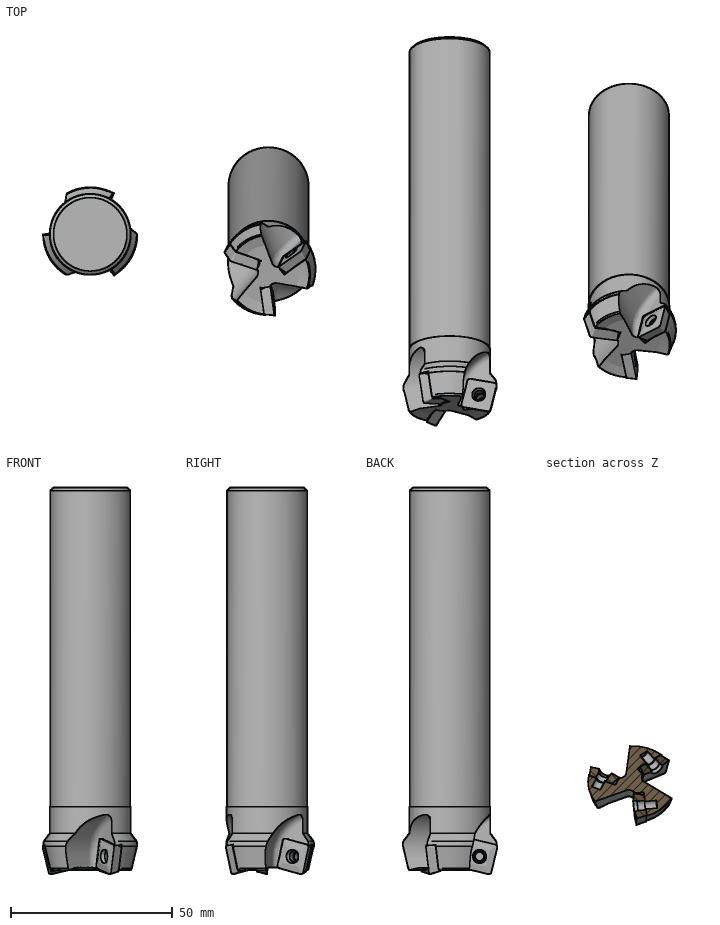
import cadquery as cq
import math

overall_length = 120
shank_radius = 25.0 / 2
neck_radius = 25.2 / 2
neck_top = 21.0
neck_bottom = 12.7
shank_chamfer_width = 1.1
shank_chamfer_height = 1.0

collar_radius = 14.6
collar_shoulder_radius = 14.4
collar_shoulder_height = 10.3
collar_bottom = 8.6
collar_band_top = 9.0
head_step = 0.1
head_tip_radius = 13.0
head_tip_height = 1.9
head_tip_chamfer_width = 0.4
head_low_point = 1.3
head_dish_radius = 9.4
head_dish_height = 2.0

tooth_count = 3
first_tooth_angle = -60

wall_setback = 0.4
flute_corner_radial = 2.3
floor_lean = 18
floor_straight_top = 5.2
floor_runout_radius = 14.4
flute_fillet = 1.9
flute_reach = 24
flute_below_head = 2.4

insert_side = 9.5
insert_corner_radius = 0.8
insert_thickness = 3.1
insert_relief = 15
insert_tilt = 13.5
insert_tip_radial = 12.1
insert_boss_height = 0.4
insert_boss_side = 5.3
insert_land = 0.2
insert_hole_diameter = 3.4
insert_countersink_diameter = 4.2
insert_countersink_depth = 1.2
screw_hole_diameter = 2.8
screw_hole_depth = 3.6

tooth_angles = [first_tooth_angle + i * 360 / tooth_count for i in range(tooth_count)]


def insert_plane():
    """Rake plane of the tooth at angle 0: X runs outward along the lower edge, Z into the tooth."""
    tilt = math.radians(insert_tilt)
    half_span = insert_side / 2 - insert_corner_radius
    center_x = insert_tip_radial + half_span * (math.sin(tilt) - math.cos(tilt))
    center_z = insert_corner_radius + half_span * (math.sin(tilt) + math.cos(tilt))
    return cq.Plane(
        origin=(center_x, 0, center_z),
        xDir=(math.cos(tilt), 0, -math.sin(tilt)),
        normal=(0, 1, 0),
    )


def rounded_square_prism(taper):
    prism = cq.Workplane(insert_plane()).sketch().rect(insert_side, insert_side)
    prism = prism.vertices().fillet(insert_corner_radius).finalize()
    return prism.extrude(insert_thickness, taper=taper)


def make_insert():
    body = rounded_square_prism(insert_relief)
    corner_setback = insert_corner_radius * (1 - math.cos(math.radians(45)))
    boss_base_side = insert_side - 2 * (insert_land + corner_setback)
    boss = (
        cq.Workplane(insert_plane())
        .rect(boss_base_side, boss_base_side)
        .workplane(offset=-insert_boss_height)
        .rect(insert_boss_side, insert_boss_side)
        .loft(combine=True)
    )
    boss_face = cq.Workplane(insert_plane()).workplane(offset=-insert_boss_height)
    hole = boss_face.circle(insert_hole_diameter / 2).extrude(insert_thickness + insert_boss_height)
    countersink = (
        boss_face.circle(insert_countersink_diameter / 2)
        .workplane(offset=insert_countersink_depth)
        .circle(insert_hole_diameter / 2)
        .loft(combine=True)
    )
    return body.union(boss).cut(hole).cut(countersink)


def turned_blank():
    head_top_radius = collar_radius - head_step
    return (
        cq.Workplane("XZ")
        .moveTo(0, head_dish_height)
        .lineTo(head_dish_radius, head_dish_height)
        .lineTo(head_tip_radius - head_tip_chamfer_width, head_low_point)
        .lineTo(head_tip_radius, head_tip_height)
        .lineTo(head_top_radius, collar_bottom)
        .lineTo(collar_radius, collar_bottom)
        .lineTo(collar_radius, collar_band_top)
        .tangentArcPoint((collar_shoulder_radius, collar_shoulder_height), relative=False)
        .lineTo(neck_radius, neck_bottom)
        .lineTo(neck_radius, neck_top)
        .lineTo(shank_radius, neck_top)
        .lineTo(shank_radius, overall_length - shank_chamfer_height)
        .lineTo(shank_radius - shank_chamfer_width, overall_length)
        .lineTo(0, overall_length)
        .close()
        .revolve(360, (0, 0, 0), (0, 1, 0))
    )


def flute_cutter():
    """Flute of the tooth at angle 0: floor runs straight up, then out along an arc."""
    lean = math.radians(floor_lean)
    floor_plane = cq.Plane(
        origin=(flute_corner_radial, wall_setback, 0),
        xDir=(math.cos(lean), math.sin(lean), 0),
        normal=(math.sin(lean), -math.cos(lean), 0),
    )
    half_arc = math.radians(45)
    arc_middle = (
        floor_runout_radius * (1 - math.cos(half_arc)),
        floor_straight_top + floor_runout_radius * math.sin(half_arc),
    )
    arc_end = (floor_runout_radius, floor_straight_top + floor_runout_radius)
    swept = (
        cq.Workplane(floor_plane)
        .moveTo(0, -flute_below_head)
        .lineTo(0, floor_straight_top)
        .threePointArc(arc_middle, arc_end)
        .lineTo(flute_reach, arc_end[1])
        .lineTo(flute_reach, -flute_below_head)
        .close()
        .extrude(flute_reach, both=True)
    )
    block_side = 4 * flute_reach
    open_side = cq.Workplane("XY").box(block_side, block_side, block_side)
    open_side = open_side.translate((0, wall_setback - block_side / 2, 0))
    cutter = swept.intersect(open_side)
    corner = cq.selectors.NearestToPointSelector((flute_corner_radial, wall_setback, floor_straight_top / 2))
    return cutter.edges(corner).fillet(flute_fillet)


def pocket_cutter():
    """Straight-walled insert seat, with the screw hole in its floor."""
    seat = rounded_square_prism(0)
    screw_hole = (
        cq.Workplane(insert_plane())
        .circle(screw_hole_diameter / 2)
        .extrude(insert_thickness + screw_hole_depth)
    )
    return seat.union(screw_hole)


def around_axis(shape, angle):
    return shape.rotate((0, 0, 0), (0, 0, 1), angle)


cutter_body = turned_blank()
tooth_gap = flute_cutter()
insert_seat = pocket_cutter()
for angle in tooth_angles:
    cutter_body = cutter_body.cut(around_axis(tooth_gap, angle))
for angle in tooth_angles:
    cutter_body = cutter_body.cut(around_axis(insert_seat, angle))

insert = make_insert()
inserts = [around_axis(insert, angle).val() for angle in tooth_angles]

result = cq.Compound.makeCompound([cutter_body.val(), *inserts])